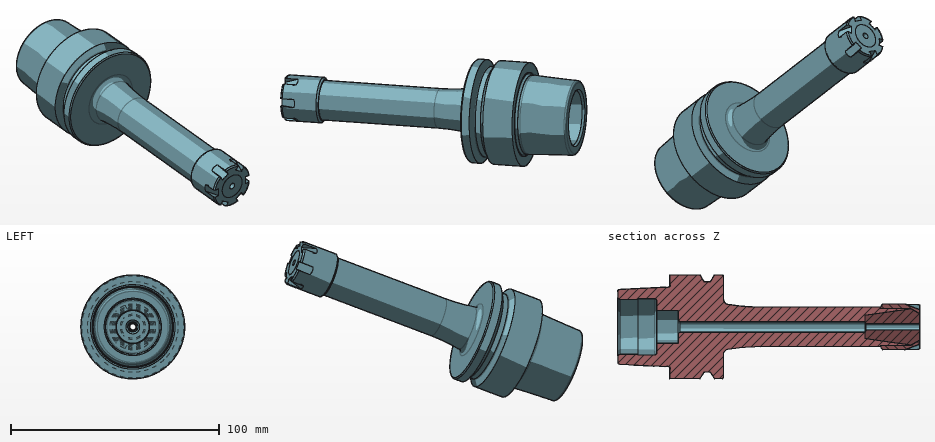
import cadquery as cq
import math

TOTAL_LENGTH = 144.9

NOSE_FILLET = 1.0
TAPER_LARGE_RADIUS = 19.1
TAPER_END_X = 22.7
TAPER_SLOPE = 0.05
RELIEF_RADIUS = 19.0
RELIEF_START_X = 23.6
RELIEF_END_X = 23.9
RECESS_INNER_RADIUS = 19.5
FACE_RECESS_RADIUS = 20.3
FACE_RECESS_DEPTH = 0.3

FLANGE_RADIUS = 50.0 / 2
FLANGE_START_X = 24.9
FLANGE_END_X = 50.9
FLANGE_CHAMFER = 0.6
GROOVE_START_X = 39.5
GROOVE_END_X = 46.4
GROOVE_FLOOR_RADIUS = 21.7
GROOVE_WALL_ANGLE = 30.0
GROOVE_FILLET = 0.5

NECK_RADIUS = 9.5
FLARE_START_X = 53.3
FLARE_END_X = 68.5
FLARE_ARC_RADIUS = 94.2
NECK_FILLET = FLARE_START_X - FLANGE_END_X

BORE_RADIUS = 13.0
BORE_CHAMFER_RADIUS = 13.8
BORE_CHAMFER_LENGTH = 1.2
BORE_LAND_END_X = 9.9
CLAMP_GROOVE_RADIUS = 13.5
BORE_FLOOR_X = 18.7
BORE_FLOOR_FILLET = 1.0
SOCKET_RADIUS = 7.8
SOCKET_CHAMFER = 0.3
SOCKET_FLOOR_X = 29.0
CHANNEL_RADIUS = 2.5
CHANNEL_CHAMFER = 0.9

NUT_RADIUS = 11.0
NUT_START_X = 126.2
NUT_REAR_CHAMFER = 0.9
NUT_FRONT_CHAMFER_LENGTH = 0.9
NUT_FRONT_CHAMFER_DEPTH = 0.5
SLOT_COUNT = 6
SLOT_WIDTH = 3.9
SLOT_LENGTH = 6.7
SLOT_RAMP_ANGLE = 21.0

SPIGOT_RADIUS = 9.0
COLLET_RADIUS = 8.5
COLLET_FRONT_RADIUS = 6.1
COLLET_FRONT_ANGLE = 30.0
COLLET_REAR_ANGLE = 8.0
COLLET_CONE_LENGTH = 22.0
COLLET_BORE_RADIUS = 1.5
COLLET_BORE_CHAMFER = 0.5

COLLET_SHOULDER_X = TOTAL_LENGTH - (COLLET_RADIUS - COLLET_FRONT_RADIUS) / math.tan(
    math.radians(COLLET_FRONT_ANGLE)
)
COLLET_REAR_X = COLLET_SHOULDER_X - COLLET_CONE_LENGTH
COLLET_REAR_RADIUS = COLLET_RADIUS - COLLET_CONE_LENGTH * math.tan(math.radians(COLLET_REAR_ANGLE))


def turned(profile):
    """Revolve a closed (x, radius) profile about the X axis."""
    return profile.close().revolve(360, (0, 0, 0), (1, 0, 0))


def cylinder(radius, start_x, end_x):
    """Solid cylinder along the X axis."""
    return cq.Workplane("YZ", origin=(start_x, 0, 0)).circle(radius).extrude(end_x - start_x)


def cone(start_radius, end_radius, start_x, end_x):
    """Solid truncated cone along the X axis."""
    profile = (
        cq.Workplane("XY")
        .moveTo(start_x, 0)
        .lineTo(start_x, start_radius)
        .lineTo(end_x, end_radius)
        .lineTo(end_x, 0)
    )
    return turned(profile)


def fillet_rings(body, places, radius):
    """Fillet the circular edges that pass through the given (x, radius) places."""
    axial_slack = 0.01
    radial_slack = 1.5
    for x, ring_radius in places:
        reach = ring_radius + radial_slack
        ring_box = cq.selectors.BoxSelector(
            (x - axial_slack, -reach, -reach),
            (x + axial_slack, reach, reach),
            boundingbox=True,
        )
        body = body.edges(ring_box).fillet(radius)
    return body


def holder_blank():
    """Taper shank, flange, flared neck and threaded end, all without holes."""
    nose_radius = TAPER_LARGE_RADIUS - TAPER_END_X * TAPER_SLOPE
    wall_run = (FLANGE_RADIUS - GROOVE_FLOOR_RADIUS) * math.tan(math.radians(GROOVE_WALL_ANGLE))
    groove_floor_start = GROOVE_START_X + wall_run
    groove_floor_end = GROOVE_END_X - wall_run

    def flare_radius(x):
        run = FLARE_END_X - x
        return NECK_RADIUS + FLARE_ARC_RADIUS - math.sqrt(FLARE_ARC_RADIUS**2 - run**2)

    flare_start_radius = flare_radius(FLARE_START_X)
    flare_middle_x = (FLARE_START_X + FLARE_END_X) / 2
    fillet_top_radius = flare_start_radius + NECK_FILLET
    fillet_middle = (
        FLANGE_END_X + NECK_FILLET * (1 - math.sqrt(0.5)),
        flare_start_radius + NECK_FILLET * (1 - math.sqrt(0.5)),
    )
    recess_floor_x = FLANGE_START_X + FACE_RECESS_DEPTH

    profile = (
        cq.Workplane("XY")
        .moveTo(0, 0)
        .lineTo(0, nose_radius)
        .lineTo(TAPER_END_X, TAPER_LARGE_RADIUS)
        .lineTo(RELIEF_START_X, RELIEF_RADIUS)
        .lineTo(RELIEF_END_X, RELIEF_RADIUS)
        .lineTo(recess_floor_x, RECESS_INNER_RADIUS)
        .lineTo(recess_floor_x, FACE_RECESS_RADIUS)
        .lineTo(FLANGE_START_X, FACE_RECESS_RADIUS)
        .lineTo(FLANGE_START_X, FLANGE_RADIUS)
        .lineTo(GROOVE_START_X, FLANGE_RADIUS)
        .lineTo(groove_floor_start, GROOVE_FLOOR_RADIUS)
        .lineTo(groove_floor_end, GROOVE_FLOOR_RADIUS)
        .lineTo(GROOVE_END_X, FLANGE_RADIUS)
        .lineTo(FLANGE_END_X - FLANGE_CHAMFER, FLANGE_RADIUS)
        .lineTo(FLANGE_END_X, FLANGE_RADIUS - FLANGE_CHAMFER)
        .lineTo(FLANGE_END_X, fillet_top_radius)
        .threePointArc(fillet_middle, (FLARE_START_X, flare_start_radius))
        .threePointArc((flare_middle_x, flare_radius(flare_middle_x)), (FLARE_END_X, NECK_RADIUS))
        .lineTo(NUT_START_X, NECK_RADIUS)
        .lineTo(NUT_START_X, SPIGOT_RADIUS)
        .lineTo(COLLET_SHOULDER_X, SPIGOT_RADIUS)
        .lineTo(COLLET_SHOULDER_X, 0)
    )
    blank = turned(profile)
    blank = fillet_rings(blank, [(0, nose_radius)], NOSE_FILLET)
    groove_corners = [
        (groove_floor_start, GROOVE_FLOOR_RADIUS),
        (groove_floor_end, GROOVE_FLOOR_RADIUS),
    ]
    return fillet_rings(blank, groove_corners, GROOVE_FILLET)


def shank_cavity():
    """Stepped clamping bore of the shank, with a chamfered mouth and a rounded floor."""
    corner_offset = BORE_FLOOR_FILLET * (1 - math.sqrt(0.5))
    profile = (
        cq.Workplane("XY")
        .moveTo(0, 0)
        .lineTo(0, BORE_CHAMFER_RADIUS)
        .lineTo(BORE_CHAMFER_LENGTH, BORE_RADIUS)
        .lineTo(BORE_LAND_END_X, BORE_RADIUS)
        .lineTo(BORE_LAND_END_X, CLAMP_GROOVE_RADIUS)
        .lineTo(BORE_FLOOR_X - BORE_FLOOR_FILLET, CLAMP_GROOVE_RADIUS)
        .threePointArc(
            (BORE_FLOOR_X - corner_offset, CLAMP_GROOVE_RADIUS - corner_offset),
            (BORE_FLOOR_X, CLAMP_GROOVE_RADIUS - BORE_FLOOR_FILLET),
        )
        .lineTo(BORE_FLOOR_X, 0)
    )
    return turned(profile)


def coolant_passage():
    """Chamfered socket in the cavity floor, then a narrow channel to the collet seat."""
    socket = cylinder(SOCKET_RADIUS, BORE_FLOOR_X, SOCKET_FLOOR_X)
    socket_mouth = cone(
        SOCKET_RADIUS + SOCKET_CHAMFER, SOCKET_RADIUS, BORE_FLOOR_X, BORE_FLOOR_X + SOCKET_CHAMFER
    )
    channel = cylinder(CHANNEL_RADIUS, SOCKET_FLOOR_X, COLLET_REAR_X)
    channel_mouth = cone(
        CHANNEL_RADIUS + CHANNEL_CHAMFER,
        CHANNEL_RADIUS,
        SOCKET_FLOOR_X,
        SOCKET_FLOOR_X + CHANNEL_CHAMFER,
    )
    return socket.union(socket_mouth).union(channel).union(channel_mouth)


def make_holder():
    collet_seat = cone(COLLET_REAR_RADIUS, COLLET_RADIUS, COLLET_REAR_X, COLLET_SHOULDER_X)
    return holder_blank().cut(shank_cavity()).cut(coolant_passage()).cut(collet_seat)


def wrench_slot():
    """Wedge whose flat floor ramps inward from the nut surface to the front face."""
    start_x = TOTAL_LENGTH - SLOT_LENGTH
    edge_radius = math.sqrt(NUT_RADIUS**2 - (SLOT_WIDTH / 2) ** 2)
    floor_end_radius = edge_radius - SLOT_LENGTH * math.tan(math.radians(SLOT_RAMP_ANGLE))
    overrun = 1.5
    top_x = start_x - overrun / math.tan(math.radians(SLOT_RAMP_ANGLE))
    top_radius = edge_radius + overrun
    return (
        cq.Workplane("XY", origin=(0, 0, -SLOT_WIDTH / 2))
        .moveTo(top_x, top_radius)
        .lineTo(TOTAL_LENGTH, floor_end_radius)
        .lineTo(TOTAL_LENGTH, top_radius)
        .close()
        .extrude(SLOT_WIDTH)
    )


def make_nut():
    profile = (
        cq.Workplane("XY")
        .moveTo(NUT_START_X, SPIGOT_RADIUS)
        .lineTo(NUT_START_X, NUT_RADIUS - NUT_REAR_CHAMFER)
        .lineTo(NUT_START_X + NUT_REAR_CHAMFER, NUT_RADIUS)
        .lineTo(TOTAL_LENGTH - NUT_FRONT_CHAMFER_LENGTH, NUT_RADIUS)
        .lineTo(TOTAL_LENGTH, NUT_RADIUS - NUT_FRONT_CHAMFER_DEPTH)
        .lineTo(TOTAL_LENGTH, COLLET_FRONT_RADIUS)
        .lineTo(COLLET_SHOULDER_X, COLLET_RADIUS)
        .lineTo(COLLET_SHOULDER_X, SPIGOT_RADIUS)
    )
    nut = turned(profile)
    slot = wrench_slot()
    for index in range(SLOT_COUNT):
        nut = nut.cut(slot.rotate((0, 0, 0), (1, 0, 0), index * 360 / SLOT_COUNT))
    return nut


def make_collet():
    """Double-cone collet with a chamfered through bore."""
    profile = (
        cq.Workplane("XY")
        .moveTo(COLLET_REAR_X, COLLET_BORE_RADIUS + COLLET_BORE_CHAMFER)
        .lineTo(COLLET_REAR_X, COLLET_REAR_RADIUS)
        .lineTo(COLLET_SHOULDER_X, COLLET_RADIUS)
        .lineTo(TOTAL_LENGTH, COLLET_FRONT_RADIUS)
        .lineTo(TOTAL_LENGTH, COLLET_BORE_RADIUS)
        .lineTo(COLLET_REAR_X + COLLET_BORE_CHAMFER, COLLET_BORE_RADIUS)
    )
    return turned(profile)


holder = make_holder()
nut = make_nut()
collet = make_collet()
bodies = [holder, nut, collet]
result = cq.Compound.makeCompound([body.solids().val() for body in bodies])